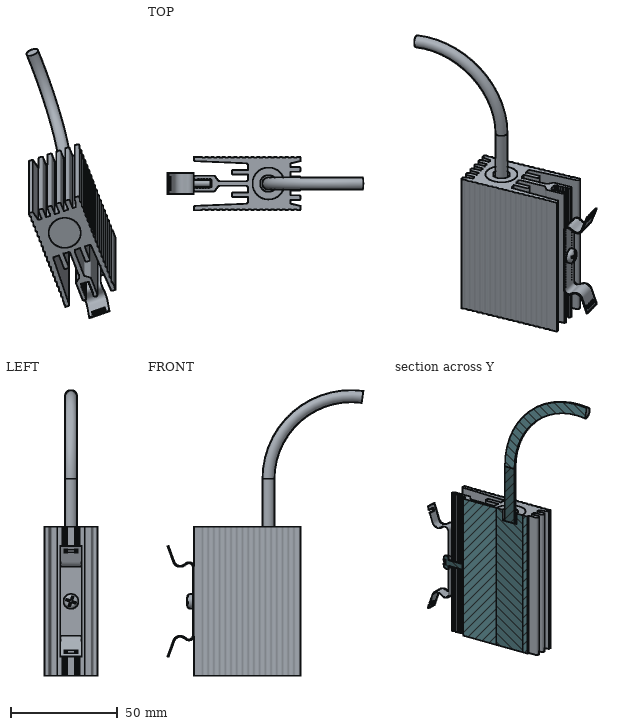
import cadquery as cq
import math


height = 70.0
mid_z = height / 2
left_end = -35.0
right_end = 15.0
width = 25.0
half_width = width / 2
left_wall = -9.6
right_wall = 10.3
fin_tip_y = 10.5
fin_root_y = 9.4
root_fillet = 0.8
tip_fillet = 0.7

ripple_pitch = 2.7
ripple_depth = 0.4
ripple_count = 17
last_crest = 14.0
end_round = 0.5

short_fin = 2.3
left_fin_tip = -17.2
left_fin_spacing = 10.6
left_fin_y = left_fin_spacing / 2
right_fin_pitch = 4.4
right_fin_ys = (right_fin_pitch / 2, right_fin_pitch * 3 / 2)

web = 2.3
web_end = -23.3
yoke_start = -25.3
yoke = 7.5
yoke_fillet = 1.1
arm_chamfer = 0.5
channel = 3.5
channel_end = -26.8
tooth_pitch = 1.3
tooth_depth = 0.4
tooth_count = 5
mouth_chamfer = 0.7

bore_radius = 7.5
cable_radius = 5.8 / 2
pocket_radius = 7.9 / 2
pocket_depth = 5.4
bend_radius = 38.7
total_height = 134.0
bend_start = total_height - cable_radius - bend_radius
bend_angle = 98

strip = 0.5
strip_width = 10.0
clip_x = left_end - strip / 2
shoulder_z = 16.1
shoulder_radius = 2.0
ramp_angle = 33
ramp_length = 1.6
valley_radius = 6.3 / 2
leg_angle = 70
leg_length = 7.9
clip_slot_width = 6.4
clip_slot_height = 1.3
clip_slot_reach = 5.4
clip_slot_z = 23.6

shank_radius = 3.1 / 2
shank_end = -27.2
head_radius = 3.5
head_height = 2.7
head_fillet = 1.7
recess_length = 4.8
recess_width = 0.8
recess_depth = 1.3
recess_turn = 20


def polar(origin, radius, angle):
    """Point at a distance and an angle in degrees from an origin."""
    turn = math.radians(angle)
    return (origin[0] + radius * math.cos(turn), origin[1] + radius * math.sin(turn))


def block(x0, x1, y_center, width):
    """Full-height rectangular bar between two X positions."""
    return (
        cq.Workplane("XY")
        .center((x0 + x1) / 2, y_center)
        .rect(x1 - x0, width)
        .extrude(height)
    )


def round_corners(solid, points, radius):
    """Fillet the vertical edge at each point and at its mirror image across Y = 0."""
    for x, y in points:
        for side in (1, -1):
            corner = cq.selectors.NearestToPointSelector((x, side * y, mid_z))
            solid = solid.edges("|Z").edges(corner).fillet(radius)
    return solid


def side_plate():
    """Half of the rippled shell: the +Y broad side with its tapered fins, down to Y = 0."""
    quarter = ripple_pitch / 4
    slope_y = half_width - ripple_depth / 2
    groove_y = half_width - ripple_depth
    outline = (
        cq.Workplane("XY")
        .moveTo(left_wall, 0)
        .lineTo(right_wall, 0)
        .lineTo(right_wall, fin_root_y)
        .lineTo(right_end, fin_tip_y)
        .lineTo(right_end, half_width - end_round)
        .radiusArc((right_end - end_round, half_width), -end_round)
        .lineTo(last_crest, half_width)
        .tangentArcPoint((last_crest - quarter, slope_y), relative=False)
    )
    for index in range(ripple_count):
        groove_x = last_crest - (index + 0.5) * ripple_pitch
        crest_x = groove_x - ripple_pitch / 2
        outline = outline.threePointArc((groove_x, groove_y), (groove_x - quarter, slope_y))
        if index < ripple_count - 1:
            outline = outline.threePointArc((crest_x, half_width), (crest_x - quarter, slope_y))
    outline = outline.tangentArcPoint((crest_x, half_width), relative=False)
    return (
        outline.lineTo(left_end, half_width)
        .lineTo(left_end, fin_tip_y)
        .lineTo(left_wall, fin_root_y)
        .close()
        .extrude(height)
    )


def yoke_body():
    """Web from the bore block and the yoke at its end, before the channel is cut."""
    half_yoke = yoke / 2
    upper = [
        (left_wall, web / 2),
        (web_end, web / 2),
        (yoke_start, half_yoke),
        (left_end + arm_chamfer, half_yoke),
        (left_end, half_yoke - arm_chamfer),
    ]
    lower = [(x, -y) for x, y in reversed(upper)]
    body = cq.Workplane("XY").polyline(upper + lower).close().extrude(height)
    body = round_corners(body, [(web_end, web / 2)], yoke_fillet)
    return round_corners(body, [(yoke_start, half_yoke)], tip_fillet)


def screw_channel():
    """Cutter for the channel between the arms, with staggered V grooves in both walls."""
    cutter = block(left_end, channel_end, 0, channel)
    half_channel = channel / 2
    mouth = [
        (left_end, half_channel + mouth_chamfer),
        (left_end + mouth_chamfer, half_channel),
        (left_end + mouth_chamfer, -half_channel),
        (left_end, -half_channel - mouth_chamfer),
    ]
    cutter = cutter.union(cq.Workplane("XY").polyline(mouth).close().extrude(height))
    for side in (1, -1):
        stagger = 0 if side > 0 else tooth_pitch / 2
        for index in range(tooth_count):
            x = channel_end - stagger - (index + 0.5) * tooth_pitch
            groove = [
                (x - tooth_pitch / 2, 0),
                (x - tooth_pitch / 2, side * half_channel),
                (x, side * (half_channel + tooth_depth)),
                (x + tooth_pitch / 2, side * half_channel),
                (x + tooth_pitch / 2, 0),
            ]
            cutter = cutter.union(cq.Workplane("XY").polyline(groove).close().extrude(height))
    return cutter


def make_housing():
    plate = side_plate()
    body = plate.union(plate.mirror("XZ")).union(yoke_body())
    for side in (1, -1):
        body = body.union(block(left_fin_tip, left_wall, side * left_fin_y, short_fin))
        for fin_y in right_fin_ys:
            body = body.union(block(right_wall, right_end, side * fin_y, short_fin))

    body = round_corners(body, [(left_wall, fin_root_y), (left_wall, web / 2)], root_fillet)
    fin_corners = [(left_end, fin_tip_y)]
    for edge in (-short_fin / 2, short_fin / 2):
        fin_corners.append((left_fin_tip, left_fin_y + edge))
        fin_corners += [(right_end, fin_y + edge) for fin_y in right_fin_ys]
    body = round_corners(body, fin_corners, tip_fillet)

    bore = cq.Workplane("XY").circle(bore_radius).extrude(height)
    return body.cut(screw_channel()).cut(bore)


def make_core():
    """Heater cartridge that fills the bore, with a pocket where the cable enters."""
    core = cq.Workplane("XY").circle(bore_radius).extrude(height)
    return core.faces(">Z").workplane().circle(pocket_radius).cutBlind(-pocket_depth)


def make_straight_cable():
    """Upright cable length, from the pocket floor to the start of the bend."""
    start = height - pocket_depth
    return cq.Workplane("XY").workplane(offset=start).circle(cable_radius).extrude(bend_start - start)


def make_bent_cable():
    """Cable length that stands on the upright one and curves over toward +X."""
    return (
        cq.Workplane("XY")
        .workplane(offset=bend_start)
        .circle(cable_radius)
        .revolve(bend_angle, (bend_radius, 0), (bend_radius, 1))
    )


def make_clip():
    """Strip swept along its bent centre line, made as an upper half and mirrored."""
    start = (clip_x, 0)
    shoulder_center = (clip_x - shoulder_radius, shoulder_z)
    shoulder_turn = 90 + ramp_angle
    shoulder_end = polar(shoulder_center, shoulder_radius, shoulder_turn)
    valley_start = polar(shoulder_end, ramp_length, 180 + ramp_angle)
    valley_center = polar(valley_start, valley_radius, shoulder_turn)
    valley_end = polar(valley_center, valley_radius, 270 - leg_angle)
    leg_tip = polar(valley_end, leg_length, 180 - leg_angle)

    path = (
        cq.Workplane("XZ", origin=(0, 0, mid_z))
        .moveTo(*start)
        .lineTo(clip_x, shoulder_z)
        .threePointArc(polar(shoulder_center, shoulder_radius, shoulder_turn / 2), shoulder_end)
        .lineTo(*valley_start)
        .threePointArc(polar(valley_center, valley_radius, 270), valley_end)
        .lineTo(*leg_tip)
    )
    half = cq.Workplane("XY", origin=(clip_x, 0, mid_z)).rect(strip, strip_width).sweep(path)
    slot = cq.Workplane("XY").box(clip_slot_reach, clip_slot_width, clip_slot_height)
    half = half.cut(slot.translate((leg_tip[0], 0, mid_z + clip_slot_z)))
    clip = half.union(half.mirror("XY", (0, 0, mid_z)))

    hole = cq.Workplane("YZ", origin=(left_end - strip, 0, mid_z)).circle(shank_radius).extrude(strip)
    return clip.cut(hole)


def make_screw():
    """Pan-head screw along X, with a cross recess."""
    seat = left_end - strip
    face = seat - head_height
    head = cq.Workplane("YZ", origin=(face, 0, mid_z)).circle(head_radius).extrude(head_height)
    head = head.faces("<X").edges().fillet(head_fillet)
    shank = cq.Workplane("YZ", origin=(seat, 0, mid_z)).circle(shank_radius).extrude(shank_end - seat)
    screw = head.union(shank)
    for turn in (recess_turn, recess_turn + 90):
        slot = (
            cq.Workplane("YZ", origin=(face, 0, mid_z))
            .transformed(rotate=(0, 0, turn))
            .rect(recess_width, recess_length)
            .extrude(recess_depth)
        )
        screw = screw.cut(slot)
    return screw


housing = make_housing()
core = make_core()
straight_cable = make_straight_cable()
bent_cable = make_bent_cable()
clip = make_clip()
screw = make_screw()

result = cq.Compound.makeCompound(
    [
        housing.solids().val(),
        core.solids().val(),
        straight_cable.solids().val(),
        bent_cable.solids().val(),
        clip.solids().val(),
        screw.solids().val(),
    ]
)